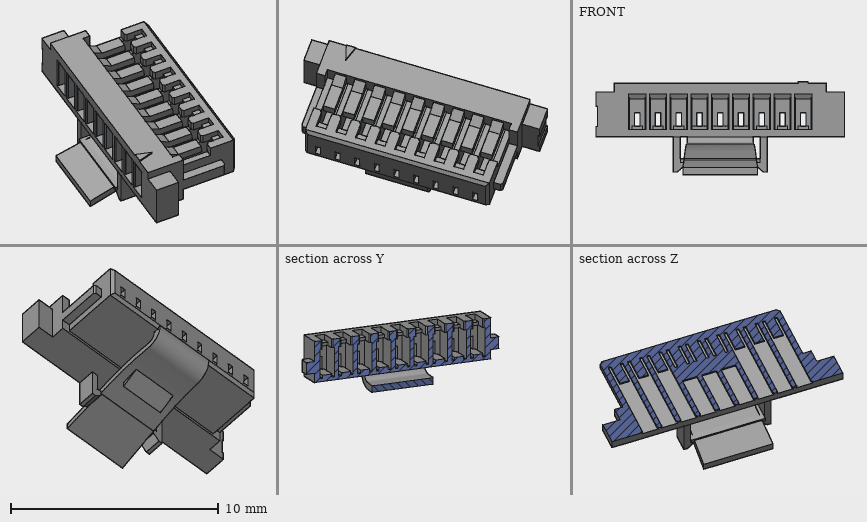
import cadquery as cq
import math


OVERALL_WIDTH = 12.0
FLANGE_WIDTH = 10.22
FLANGE_TOP = 2.59
FLANGE_DEPTH = 1.92
BRIDGE_DEPTH = 1.56
EAR_TOP = 2.17
EAR_DEPTH = 1.2
EAR_NOTCH_DEPTH = 0.07
EAR_NOTCH_BOTTOM = 0.5
EAR_NOTCH_TOP = 1.48

BODY_WIDTH = 9.36
BODY_BACK = 5.02
BODY_BOTTOM = 0.18
BODY_TOP = 2.27
BODY_CHAMFER = 0.15
REAR_BLOCK_FRONT = 3.61
WALL_TOP = 1.8
RAIL_BACK = 4.21
RAIL_BOTTOM = 0.65
RAIL_TOP = 1.26
RAIL_CHAMFER = 0.1

CELL_COUNT = 9
CELL_PITCH = 3 / 3
CELL_WIDTH = 0.75
CELL_FLOOR = 0.36
CELL_CEILING = 1.82
CELL_BACK = 4.52
MOUTH_WIDTH = 0.83
MOUTH_DEPTH = 0.08
MOUTH_TOP = 2.08
MOUTH_SLOPE_DEPTH = 0.12
SLOT_WIDTH = 0.5
SHELF_FRONT = 4.13
SHELF_TOP = 1.98
SLOT_CHAMFER = 0.1
WINDOW_WIDTH = 0.25
WINDOW_BOTTOM = 0.52
WINDOW_TOP = 1.16
SILL_FRONT = 3.36
WIDE_SILL_FRONT = 2.4
WIDE_SILL_CELLS = (3, 4, 5)

BEAM_WIDTH = 0.58
BEAM_TOP = 2.2
BEAM_TIP_TOP = 3.31
BEAM_TIP_BOTTOM = 3.36
BEAM_RAMP_START = 2.09
BEAM_RAMP_TOP = 2.44

MARK_WIDTH = 0.48
MARK_LENGTH = 0.8
MARK_HEIGHT = 0.07

ROOT_THICKNESS = 0.41
LEVER_THICKNESS = 0.35
LEVER_TOP = -0.34
LEVER_TIP = -1.42
LEVER_TIP_BOTTOM = -1.84
LEVER_ANGLE = 15.0
ROOT_OUTER_RADIUS = 0.86
ROOT_INNER_RADIUS = 0.43
LEVER_BEND_RADIUS = 9.6
LEVER_ROOT_WIDTH = 3.17
LEVER_TIP_WIDTH = 3.6

CATCH_WIDTH = 2.4
CATCH_FRONT = 1.97
CATCH_BACK = 2.9
CATCH_BACK_HEIGHT = -0.75
CATCH_BOTTOM = -1.22

POST_OUTER = 2.27
POST_INNER = 1.92
POST_DEPTH = 0.91
POST_BOTTOM = -1.69
TOE_TIP = 1.72
TOE_TIP_BOTTOM = -1.37
TOE_BOTTOM_INNER = 2.06
BAR_FRONT = -0.11
BAR_TOP = -1.05
BAR_BOTTOM = -1.22

LEVER_SLOPE = math.tan(math.radians(LEVER_ANGLE))
SLOPED_HEIGHT = LEVER_THICKNESS / math.cos(math.radians(LEVER_ANGLE))
LEVER_TIP_TOP = LEVER_TIP_BOTTOM + SLOPED_HEIGHT
LEVER_BOTTOM = LEVER_TOP - LEVER_THICKNESS
ROOT_TOP = BODY_BOTTOM + BODY_CHAMFER
ROOT_FRONT = BODY_BACK - ROOT_THICKNESS
TOP_BEND = LEVER_TIP + (LEVER_TOP - LEVER_TIP_TOP) / LEVER_SLOPE
BOTTOM_BEND = LEVER_TIP + (LEVER_BOTTOM - LEVER_TIP_BOTTOM) / LEVER_SLOPE


def block(x_range, y_range, z_range):
    """Box between the given limits on each axis."""
    size = [high - low for low, high in (x_range, y_range, z_range)]
    corner = (x_range[0], y_range[0], z_range[0])
    return cq.Workplane("XY").box(*size, centered=False).translate(corner)


def centered_block(width, y_range, z_range, x=0.0):
    """Box centred on x."""
    return block((x - width / 2, x + width / 2), y_range, z_range)


def side_profile(points, width, x=0.0):
    """Extrude a (y, z) outline along X, centred on x."""
    return cq.Workplane("YZ").polyline(points).close().extrude(width / 2, both=True).translate((x, 0, 0))


def cell_center(index):
    return (index - (CELL_COUNT - 1) / 2) * CELL_PITCH


def flange():
    plate = centered_block(FLANGE_WIDTH, (0, FLANGE_DEPTH), (0, FLANGE_TOP))
    ears = centered_block(OVERALL_WIDTH, (0, EAR_DEPTH), (0, EAR_TOP))
    notch = block(
        (-OVERALL_WIDTH / 2, -OVERALL_WIDTH / 2 + EAR_NOTCH_DEPTH),
        (0, EAR_DEPTH),
        (EAR_NOTCH_BOTTOM, EAR_NOTCH_TOP),
    )
    return plate.union(ears).cut(notch)


def rear_body():
    body = centered_block(BODY_WIDTH, (0, BODY_BACK), (BODY_BOTTOM, BODY_TOP))
    body = body.faces(">Y").chamfer(BODY_CHAMFER)
    rails = centered_block(FLANGE_WIDTH, (0, RAIL_BACK), (RAIL_BOTTOM, RAIL_TOP))
    rails = rails.edges("|Z and >Y").chamfer(RAIL_CHAMFER)
    return body.union(rails)


def open_top():
    """Space above the cell walls, between the flange bridge and the rear block."""
    return centered_block(BODY_WIDTH, (BRIDGE_DEPTH, REAR_BLOCK_FRONT), (WALL_TOP, FLANGE_TOP))


def cell_cavity(x):
    cell = centered_block(CELL_WIDTH, (0, CELL_BACK), (CELL_FLOOR, CELL_CEILING), x)
    mouth_outline = [
        (0, CELL_FLOOR),
        (MOUTH_SLOPE_DEPTH, CELL_FLOOR),
        (MOUTH_SLOPE_DEPTH, CELL_CEILING),
        (0, MOUTH_TOP),
    ]
    throat = side_profile(mouth_outline, CELL_WIDTH, x)
    mouth_limit = centered_block(MOUTH_WIDTH, (0, MOUTH_DEPTH), (CELL_FLOOR, MOUTH_TOP), x)
    mouth = side_profile(mouth_outline, MOUTH_WIDTH, x).intersect(mouth_limit)
    window = centered_block(WINDOW_WIDTH, (CELL_BACK, BODY_BACK), (WINDOW_BOTTOM, WINDOW_TOP), x)
    return cell.union(throat).union(mouth).union(window)


def roof_slot(x):
    """Slot through the rear block into the cell, with a shelf at its back and a flared entry."""
    slot = centered_block(SLOT_WIDTH, (REAR_BLOCK_FRONT, SHELF_FRONT), (WALL_TOP, BODY_TOP), x)
    above_shelf = centered_block(SLOT_WIDTH, (SHELF_FRONT, CELL_BACK), (SHELF_TOP, BODY_TOP), x)
    half = SLOT_WIDTH / 2
    flare = (
        cq.Workplane("XY", origin=(x, REAR_BLOCK_FRONT, WALL_TOP))
        .polyline([
            (-half - SLOT_CHAMFER, 0),
            (half + SLOT_CHAMFER, 0),
            (half, SLOT_CHAMFER),
            (-half, SLOT_CHAMFER),
        ])
        .close()
        .extrude(BODY_TOP - WALL_TOP)
    )
    return slot.union(above_shelf).union(flare)


def spring_beam(x):
    return side_profile(
        [
            (BRIDGE_DEPTH, CELL_CEILING),
            (BEAM_TIP_BOTTOM, CELL_CEILING),
            (BEAM_TIP_TOP, BEAM_TOP),
            (BEAM_RAMP_START, BEAM_TOP),
            (BRIDGE_DEPTH, BEAM_RAMP_TOP),
        ],
        BEAM_WIDTH,
        x,
    )


def floor_sill(index):
    """Raised floor below the slot; in the middle cells a full-width step leads up to it."""
    x = cell_center(index)
    heights = (CELL_FLOOR, WINDOW_BOTTOM)
    sill = centered_block(SLOT_WIDTH, (SILL_FRONT, CELL_BACK), heights, x)
    if index in WIDE_SILL_CELLS:
        sill = sill.union(centered_block(CELL_WIDTH, (WIDE_SILL_FRONT, SILL_FRONT), heights, x))
    return sill


def circuit_mark():
    half = MARK_WIDTH / 2
    return (
        cq.Workplane("XY", origin=(cell_center(CELL_COUNT - 1), 0, FLANGE_TOP))
        .polyline([(-half, 0), (half, 0), (0, MARK_LENGTH)])
        .close()
        .extrude(MARK_HEIGHT)
    )


def make_housing():
    housing = flange().union(rear_body()).cut(open_top())
    for index in range(CELL_COUNT):
        x = cell_center(index)
        housing = housing.cut(cell_cavity(x)).cut(roof_slot(x))
        housing = housing.union(spring_beam(x)).union(floor_sill(index))
    return housing.union(circuit_mark())


def round_corner(solid, y, z, radius):
    """Fillet the edge along X that passes through (y, z)."""
    return solid.edges(cq.selectors.NearestToPointSelector((0, y, z))).fillet(radius)


def lever_plan():
    """Plan outline of the lever, widening from the root to the tip, as a tall prism."""
    root = LEVER_ROOT_WIDTH / 2
    tip = LEVER_TIP_WIDTH / 2
    return (
        cq.Workplane("XY", origin=(0, 0, LEVER_TIP_BOTTOM))
        .polyline([
            (-tip, LEVER_TIP),
            (tip, LEVER_TIP),
            (root, BODY_BACK),
            (-root, BODY_BACK),
        ])
        .close()
        .extrude(ROOT_TOP - LEVER_TIP_BOTTOM)
    )


def lever():
    strap = side_profile(
        [
            (BODY_BACK, ROOT_TOP),
            (ROOT_FRONT, ROOT_TOP),
            (ROOT_FRONT, LEVER_TOP),
            (TOP_BEND, LEVER_TOP),
            (LEVER_TIP, LEVER_TIP_TOP),
            (LEVER_TIP, LEVER_TIP_BOTTOM),
            (BOTTOM_BEND, LEVER_BOTTOM),
            (BODY_BACK, LEVER_BOTTOM),
        ],
        LEVER_TIP_WIDTH,
    )
    strap = round_corner(strap, BODY_BACK, LEVER_BOTTOM, ROOT_OUTER_RADIUS)
    strap = round_corner(strap, ROOT_FRONT, LEVER_TOP, ROOT_INNER_RADIUS)
    strap = round_corner(strap, TOP_BEND, LEVER_TOP, LEVER_BEND_RADIUS)
    strap = round_corner(strap, BOTTOM_BEND, LEVER_BOTTOM, LEVER_BEND_RADIUS - LEVER_THICKNESS)
    return strap.intersect(lever_plan())


def catch():
    """Wedge below the lever; its upper edge lies inside the lever."""
    outline = [
        (CATCH_BACK, CATCH_BACK_HEIGHT),
        (CATCH_FRONT, CATCH_BOTTOM),
        (CATCH_FRONT, LEVER_BOTTOM),
    ]
    return side_profile(outline, CATCH_WIDTH)


def post(side):
    """Post with a toe that runs inward to the lever; side is -1 or +1."""
    outline = [
        (POST_OUTER, 0),
        (POST_INNER, 0),
        (POST_INNER, BAR_BOTTOM),
        (TOE_TIP, BAR_BOTTOM),
        (TOE_TIP, TOE_TIP_BOTTOM),
        (TOE_BOTTOM_INNER, POST_BOTTOM),
        (POST_OUTER, POST_BOTTOM),
    ]
    return (
        cq.Workplane("XZ")
        .polyline([(side * x, z) for x, z in outline])
        .close()
        .extrude(-POST_DEPTH)
    )


def make_latch():
    crossbar = centered_block(2 * POST_INNER, (BAR_FRONT, POST_DEPTH), (BAR_BOTTOM, BAR_TOP))
    latch = lever().union(catch()).union(crossbar)
    for side in (-1, 1):
        latch = latch.union(post(side))
    return latch


housing = make_housing()
latch = make_latch().cut(housing)

result = cq.Compound.makeCompound([housing.solids().val(), latch.solids().val()])